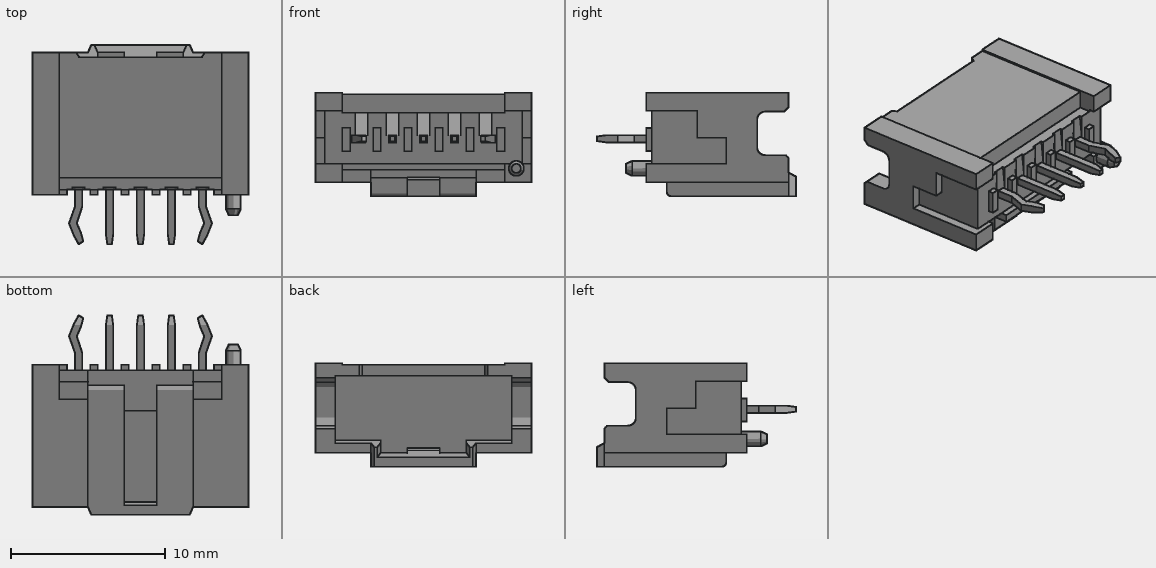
import cadquery as cq
import math


width = 14.0
depth = 9.23
height = 5.81
half_width = width / 2
cover_step = 0.1

end_block_width = 1.75
block_half_gap = half_width - end_block_width
face_y = 0.35
shoulder_y = 1.12
shoulder_z = 4.52
lower_block_top = 1.22
upper_block_bottom = 4.63

recess_depth = 0.6
recess_low_end = 5.18
recess_high_end = 3.3
recess_step_z = 2.9

window_bottom = 1.78
window_top = 4.58
window_depth = 2.03
window_corner_radius = 0.5
window_top_chamfer = 0.3
window_bottom_chamfer = 0.2

cavity_back_y = 3.0
cavity_half_width = 5.71
cavity_floor = 0.81
cavity_ceiling = height - cavity_floor
ramp_angle = math.radians(28)
ramp_length = 0.32

notch_depth = 0.31
notch_bottom_half = 3.96
notch_top_half = 4.17

key_half_width = 3.4
key_bottom = -0.9
key_front_y = 1.33
key_edge_radius = 0.31
key_groove_half = 2.77
key_groove_flare_half = 3.0
key_bar_bottom = 0.31
channel_half = 1.04
lip_length = 0.49
lip_tip_half = 3.19
lip_y = depth + lip_length
latch_top = 0.18
latch_wall_y = depth - latch_top / math.tan(ramp_angle)
latch_lean = 0.21

undercut_y = 2.24

pitch = 2.0
pin_count = 5
pin_size = 0.49
pin_tip_size = 0.31
pin_z = 2.83
pin_taper_y = -2.55
pin_end_y = -3.19
pin_root_y = shoulder_y

rib_width = 0.5
rib_bottom = 2.03
rib_top = 3.53
groove_width = 0.81
groove_depth = 0.15

peg_x = 6.0
peg_z = 0.91
peg_radius = 0.49
peg_tip_radius = 0.3
peg_shoulder_y = -0.91
peg_end_y = -1.32


def box(x0, x1, y0, y1, z0, z1):
    return cq.Workplane("XY").box(x1 - x0, y1 - y0, z1 - z0, centered=False).translate((x0, y0, z0))


def centred_box(half, y0, y1, z0, z1):
    return box(-half, half, y0, y1, z0, z1)


def side_prism(half, points):
    """Extrude a closed (y, z) outline symmetrically along X."""
    return cq.Workplane("YZ").polyline(points).close().extrude(half, both=True)


def ramp_z(y, z_at_mouth):
    """Height of a lead-in ramp that falls towards +Y."""
    return z_at_mouth - (y - depth) * math.tan(ramp_angle)


def row_positions(count):
    return [(i - (count - 1) / 2) * pitch for i in range(count)]


def housing():
    body = centred_box(half_width, 0, depth, 0, height)
    body = body.cut(centred_box(block_half_gap, 0, depth, height - cover_step, height))
    body = body.cut(centred_box(block_half_gap, 0, shoulder_y, shoulder_z, height))
    body = body.cut(centred_box(half_width, 0, face_y, lower_block_top, upper_block_bottom))
    body = body.cut(centred_box(block_half_gap, 0, shoulder_y, 0, lower_block_top))
    body = body.cut(centred_box(block_half_gap, 0, undercut_y, 0, cavity_floor))
    for x in (-half_width, half_width - recess_depth):
        low = box(x, x + recess_depth, 0, recess_low_end, lower_block_top, recess_step_z)
        high = box(x, x + recess_depth, 0, recess_high_end, recess_step_z, upper_block_bottom)
        body = body.cut(low).cut(high)
    return body


def key_and_lip():
    key = centred_box(key_half_width, key_front_y, depth, key_bottom, cavity_floor)
    key = key.edges("|X and <Y and <Z").fillet(key_edge_radius)
    bar = centred_box(key_half_width, face_y, undercut_y, key_bar_bottom, cavity_floor)
    lip = (
        cq.Workplane("XY")
        .workplane(offset=key_bottom)
        .polyline([
            (-key_half_width, depth),
            (-lip_tip_half, lip_y),
            (lip_tip_half, lip_y),
            (key_half_width, depth),
        ])
        .close()
        .extrude(cavity_floor - key_bottom)
    )
    return key.union(bar).union(lip)


def side_windows():
    inner_y = depth - window_depth
    window = centred_box(half_width, inner_y, depth, window_bottom, window_top)
    window = window.edges("|X and <Y").fillet(window_corner_radius)
    upper = side_prism(half_width, [
        (depth - window_top_chamfer, window_top),
        (depth, window_top),
        (depth, window_top + window_top_chamfer),
    ])
    lower = side_prism(half_width, [
        (depth - window_bottom_chamfer, window_bottom),
        (depth, window_bottom),
        (depth, window_bottom - window_bottom_chamfer),
    ])
    return window.union(upper).union(lower)


def cavity():
    """Mating space with a lead-in ramp along its floor and a key groove sunk below it."""
    room = centred_box(cavity_half_width, cavity_back_y, depth, cavity_floor, cavity_ceiling)
    floor_edge_z = cavity_floor - ramp_length * math.tan(ramp_angle)
    mouth = side_prism(cavity_half_width, [
        (depth - ramp_length, cavity_floor),
        (lip_y, ramp_z(lip_y, floor_edge_z)),
        (lip_y, cavity_floor),
    ])
    groove = side_prism(key_groove_flare_half, [
        (cavity_back_y, 0),
        (depth, 0),
        (lip_y, ramp_z(lip_y, 0)),
        (lip_y, cavity_floor),
        (cavity_back_y, cavity_floor),
    ])
    groove_plan = (
        cq.Workplane("XY")
        .polyline([
            (-key_groove_half, cavity_back_y),
            (-key_groove_half, depth),
            (-key_groove_flare_half, lip_y),
            (key_groove_flare_half, lip_y),
            (key_groove_half, depth),
            (key_groove_half, cavity_back_y),
        ])
        .close()
        .extrude(2 * height, both=True)
    )
    return room.union(mouth).union(groove.intersect(groove_plan))


def latch_channel():
    """Slot between the two halves of the key box, closed at the mouth by the leaning latch wall."""
    return side_prism(channel_half, [
        (key_front_y, key_bottom),
        (latch_wall_y + latch_lean, key_bottom),
        (latch_wall_y, latch_top),
        (latch_wall_y, key_bar_bottom),
        (key_front_y, key_bar_bottom),
    ])


def latch_ramp():
    return side_prism(channel_half, [
        (latch_wall_y, latch_top),
        (depth, 0),
        (depth, key_bottom),
        (latch_wall_y + latch_lean, key_bottom),
    ])


def mouth_notch():
    floor_y = depth - notch_depth
    return (
        cq.Workplane("XY")
        .workplane(offset=cavity_ceiling)
        .polyline([
            (-notch_bottom_half, floor_y),
            (notch_bottom_half, floor_y),
            (notch_top_half, depth),
            (-notch_top_half, depth),
        ])
        .close()
        .extrude(height - cavity_ceiling)
    )


def pin_groove(x):
    groove = side_prism(groove_width / 2, [
        (face_y, pin_z + pin_size / 2),
        (face_y, shoulder_z),
        (face_y + groove_depth, shoulder_z),
    ])
    return groove.translate((x, 0, 0))


def pin_side_profile():
    """Side outline common to all pins: a square bar with a tapered tip."""
    half = pin_size / 2
    tip = pin_tip_size / 2
    bar = side_prism(half_width, [
        (pin_root_y, -half),
        (pin_taper_y, -half),
        (pin_end_y, -tip),
        (pin_end_y, tip),
        (pin_taper_y, half),
        (pin_root_y, half),
    ])
    return bar.translate((0, 0, pin_z))


def pin(x, outline):
    plan = cq.Workplane("XY").polyline(outline).close().extrude(height)
    return plan.translate((x, 0, 0)).intersect(pin_side_profile())


def straight_outline():
    half = pin_size / 2
    tip = pin_tip_size / 2
    right = [(half, pin_root_y), (half, pin_taper_y), (tip, pin_end_y)]
    left = [(-x, y) for x, y in reversed(right)]
    return right + left


def kinked_outline(outward):
    """Plan of an end pin that bulges outward (-1 or +1 along X) and returns at its tip."""
    half = pin_size / 2
    points = [
        (-half, pin_root_y),
        (-half, -0.75),
        (0.11, -1.83),
        (-0.15, -2.44),
        (-0.31, -3.01),
        (0.0, pin_end_y),
        (0.31, -2.65),
        (0.63, -1.85),
        (half, -0.75),
        (half, pin_root_y),
    ]
    return [(outward * x, y) for x, y in points]


def peg():
    return (
        cq.Workplane("XY")
        .polyline([
            (0, shoulder_y),
            (peg_radius, shoulder_y),
            (peg_radius, peg_shoulder_y),
            (peg_tip_radius, peg_end_y),
            (0, peg_end_y),
        ])
        .close()
        .revolve(360, (0, 0), (0, 1))
        .translate((peg_x, 0, peg_z))
    )


result = housing().union(key_and_lip())
result = result.cut(side_windows()).cut(cavity()).cut(mouth_notch())
result = result.cut(latch_channel()).union(latch_ramp())

pin_positions = row_positions(pin_count)
for x in pin_positions:
    result = result.cut(pin_groove(x))
for x in row_positions(pin_count + 1):
    rib = centred_box(rib_width / 2, 0, shoulder_y, rib_bottom, rib_top)
    result = result.union(rib.translate((x, 0, 0)))
for x in pin_positions[1:-1]:
    result = result.union(pin(x, straight_outline()))
result = result.union(pin(pin_positions[0], kinked_outline(-1)))
result = result.union(pin(pin_positions[-1], kinked_outline(1)))
result = result.union(peg())